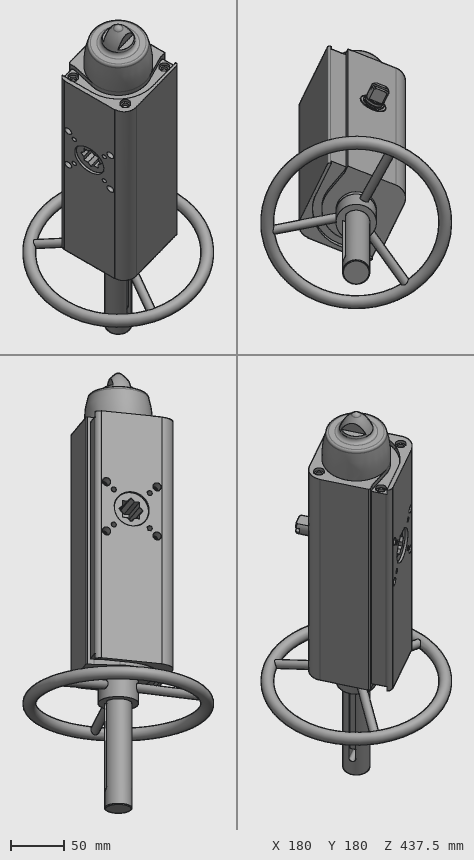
import cadquery as cq
import math

TOTAL_HEIGHT = 437.5
BLEND = 2.0

BLOCK_BOTTOM = 132.5
BLOCK_TOP = 380.5
BLOCK_OFFSET = 2.5
BLOCK_HALF = 41.5
BLOCK_LEFT = BLOCK_OFFSET - BLOCK_HALF
BLOCK_RIGHT = BLOCK_OFFSET + BLOCK_HALF
BLOCK_FRONT = -45.0
BLOCK_BACK = -BLOCK_LEFT
STEP_START = 26.0
STEP_DEPTH = 4.0
STEP_CHAMFER = 1.5
BACK_LEFT_RADIUS = 15.5
FRONT_RIGHT_RADIUS = 14.5
FRONT_LEFT_RADIUS = 5.0
BACK_RIGHT_RADIUS = 2.0
PAD_HEIGHT = 0.5
PAD_FACE = BLOCK_FRONT - PAD_HEIGHT
PAD_RIGHT = BLOCK_RIGHT - FRONT_RIGHT_RADIUS
PAD_LEFT = -PAD_RIGHT

CHANNEL_DEPTH = 5.2
CHANNEL_RADIUS = 41.0
ISLAND_CORNER = 31.5

SCREW_SPACING = 61.2
SCREW_HEAD_DIAMETER = 10.0
SCREW_HEAD_DEPTH = 3.5
SCREW_SOCKET_DIAMETER = 6.5
SCREW_SOCKET_DEPTH = 7.0

SHAFT_Z = 285.2
MOUNT_HOLES = [(70.0, 8.0, 6.5), (50.0, 5.0, 4.1)]
THREAD_DEPTH = 11.0
DRILL_DEPTH = 13.0
DRILL_POINT_ANGLE = 118

CAP_RADIUS = 32.5
CAP_SHOULDER_RADIUS = 29.0
CAP_TOP = 414.5
CAP_EDGE_ROUND = 2.5
CAP_MID_RADIUS = 32.0
INDICATOR_RADIUS = 15.8
INDICATOR_BASE_ROUND = 4.5
INDICATOR_MID_RADIUS = 12.0
INDICATOR_MID_Z = 426.5
TIP_RADIUS = 4.5
TIP_HEIGHT = 2.0
BLADE_WIDTH = 17.0
BLADE_FLOOR = 421.0

WHEEL_DIAMETER = 180.0
RIM_DIAMETER = 12.2
RIM_RADIUS = (WHEEL_DIAMETER - RIM_DIAMETER) / 2
WHEEL_Z = 106.0
HUB_RADIUS = 38.0 / 2
HUB_TOP = 127.8
HUB_BOTTOM = WHEEL_Z
HUB_NECK_RADIUS = 16.0
SPOKE_DIAMETER = 8.8
SPOKE_END_GAP = 1.8
SPOKE_HUB_Z = 120.0
SPOKE_ANGLES = [90, 210, 330]

STEM_DIAMETER = 26.0
STEM_CHAMFER = 1.0
ROD_DIAMETER = 20.0
ROD_BOTTOM = 30.0
SLOT_WIDTH = 6.5
SLOT_BOTTOM = 17.0

SHAFT_DIAMETER = 34.0
SHAFT_RECESS = 2.5
SHAFT_FRONT = PAD_FACE + SHAFT_RECESS
JOURNAL_DIAMETER = 26.0
JOURNAL_START = 30.5
JOURNAL_END = 40.0
COLLAR_DIAMETER = 20.5
COLLAR_END = 41.0
NECK_DIAMETER = 17.0
NECK_END = 43.8
SPIGOT_DIAMETER = 18.0
SPIGOT_END = 57.8
SPIGOT_CHAMFER = 1.5
FLATS_START = 45.0
FLATS_WIDTH = 12.2
NOTCH_WIDTH = 4.1
NOTCH_DEPTH = 4.5
SOCKET_SQUARE = 16.5
SOCKET_DEPTH = 35.0


def cylinder(radius, bottom, top):
    """Round bar on the stem axis between two heights."""
    return cq.Workplane("XY", origin=(0, 0, bottom)).circle(radius).extrude(top - bottom)


def bar_along_y(diameter, start, end):
    """Round bar on the output shaft axis between two Y positions."""
    plane = cq.Plane(origin=(0, start, SHAFT_Z), xDir=(-1, 0, 0), normal=(0, 1, 0))
    return cq.Workplane(plane).circle(diameter / 2).extrude(end - start)


def block_edge(x, y):
    """Selector for the vertical block edge at one corner of its outline."""
    reach = 0.2
    middle = (BLOCK_BOTTOM + BLOCK_TOP) / 2
    return cq.selectors.BoxSelector((x - reach, y - reach, middle - 4.5), (x + reach, y + reach, middle + 4.5))


def make_block():
    outline = [
        (BLOCK_LEFT, BLOCK_BACK),
        (STEP_START, BLOCK_BACK),
        (STEP_START, BLOCK_BACK - STEP_DEPTH),
        (BLOCK_RIGHT, BLOCK_BACK - STEP_DEPTH),
        (BLOCK_RIGHT, BLOCK_FRONT),
        (BLOCK_LEFT + STEP_DEPTH, BLOCK_FRONT),
        (BLOCK_LEFT + STEP_DEPTH, -STEP_START),
        (BLOCK_LEFT, -STEP_START),
    ]
    height = BLOCK_TOP - BLOCK_BOTTOM
    block = cq.Workplane("XY", origin=(0, 0, BLOCK_BOTTOM)).polyline(outline).close().extrude(height)
    block = block.edges(block_edge(BLOCK_LEFT, BLOCK_BACK)).fillet(BACK_LEFT_RADIUS)
    block = block.edges(block_edge(BLOCK_RIGHT, BLOCK_FRONT)).fillet(FRONT_RIGHT_RADIUS)
    block = block.edges(block_edge(BLOCK_LEFT + STEP_DEPTH, BLOCK_FRONT)).fillet(FRONT_LEFT_RADIUS)
    block = block.edges(block_edge(BLOCK_RIGHT, BLOCK_BACK - STEP_DEPTH)).fillet(BACK_RIGHT_RADIUS)
    block = block.edges(block_edge(BLOCK_LEFT, -STEP_START)).chamfer(STEP_CHAMFER)
    pad = cq.Workplane("XY").box(
        PAD_RIGHT - PAD_LEFT, PAD_HEIGHT + BLEND, height, centered=False
    ).translate((PAD_LEFT, PAD_FACE, BLOCK_BOTTOM))
    return block.union(pad)


def make_channel(bottom):
    """Channel across an end face, from corner to corner, around the round boss."""
    corner_distance = math.hypot(ISLAND_CORNER, STEP_START)
    tangent_angle = math.atan2(-STEP_START, -ISLAND_CORNER) + math.acos(CAP_RADIUS / corner_distance)
    tangent_x = CAP_RADIUS * math.cos(tangent_angle)
    tangent_y = CAP_RADIUS * math.sin(tangent_angle)
    far = 2 * BLOCK_HALF
    diagonal = math.sqrt(0.5)
    channel = (
        cq.Workplane("XY", origin=(0, 0, bottom))
        .moveTo(-far, -STEP_START)
        .lineTo(-ISLAND_CORNER, -STEP_START)
        .lineTo(tangent_x, tangent_y)
        .threePointArc((CAP_RADIUS * diagonal, -CAP_RADIUS * diagonal), (-tangent_y, -tangent_x))
        .lineTo(STEP_START, ISLAND_CORNER)
        .lineTo(STEP_START, far)
        .lineTo(CHANNEL_RADIUS, far)
        .lineTo(CHANNEL_RADIUS, 0)
        .threePointArc((CHANNEL_RADIUS * diagonal, -CHANNEL_RADIUS * diagonal), (0, -CHANNEL_RADIUS))
        .lineTo(-far, -CHANNEL_RADIUS)
        .close()
    )
    return channel.extrude(CHANNEL_DEPTH)


def make_screw_holes():
    """Stepped holes in the four corners of the top face, two of them in the channel."""
    half = SCREW_SPACING / 2
    holes = cq.Workplane("XY")
    for side_x in (-1, 1):
        for side_y in (-1, 1):
            top = BLOCK_TOP if side_x != side_y else BLOCK_TOP - CHANNEL_DEPTH
            start = cq.Workplane("XY", origin=(BLOCK_OFFSET + side_x * half, side_y * half - BLOCK_OFFSET, top))
            holes = holes.add(start.circle(SCREW_HEAD_DIAMETER / 2).extrude(-SCREW_HEAD_DEPTH))
            holes = holes.add(start.circle(SCREW_SOCKET_DIAMETER / 2).extrude(-SCREW_SOCKET_DEPTH))
    return holes.combine()


def make_mount_hole(thread_diameter, drill_diameter):
    """Tapped hole from the front face, as a revolved profile around its own axis."""
    drill_radius = drill_diameter / 2
    point_depth = drill_radius / math.tan(math.radians(DRILL_POINT_ANGLE / 2))
    profile = (
        cq.Workplane("XY", origin=(0, PAD_FACE, SHAFT_Z))
        .lineTo(thread_diameter / 2, 0)
        .lineTo(thread_diameter / 2, THREAD_DEPTH)
        .lineTo(drill_radius, THREAD_DEPTH)
        .lineTo(drill_radius, DRILL_DEPTH)
        .lineTo(0, DRILL_DEPTH + point_depth)
        .close()
    )
    return profile.revolve(360, (0, 0), (0, 1))


def cut_mount_holes(housing):
    for circle_diameter, thread_diameter, drill_diameter in MOUNT_HOLES:
        offset = circle_diameter / 2 * math.sqrt(0.5)
        hole = make_mount_hole(thread_diameter, drill_diameter)
        for side_x in (-1, 1):
            for side_z in (-1, 1):
                housing = housing.cut(hole.translate((side_x * offset, 0, side_z * offset)))
    return housing


def make_cap():
    """Spring cap and pointed indicator, revolved as one profile."""
    edge_z = CAP_TOP - CAP_EDGE_ROUND
    edge_inner = CAP_SHOULDER_RADIUS - CAP_EDGE_ROUND
    diagonal = math.sqrt(0.5)
    edge_mid = (edge_inner + CAP_EDGE_ROUND * diagonal, edge_z + CAP_EDGE_ROUND * diagonal)
    base_z = CAP_TOP + INDICATOR_BASE_ROUND
    base_outer = INDICATOR_RADIUS + INDICATOR_BASE_ROUND
    base_mid = (base_outer - INDICATOR_BASE_ROUND * diagonal, base_z - INDICATOR_BASE_ROUND * diagonal)
    dome_radius = (TIP_RADIUS ** 2 + TIP_HEIGHT ** 2) / (2 * TIP_HEIGHT)
    dome_mid_x = TIP_RADIUS / 2
    dome_mid_z = TOTAL_HEIGHT - dome_radius + math.sqrt(dome_radius ** 2 - dome_mid_x ** 2)
    profile = (
        cq.Workplane("XZ")
        .moveTo(0, BLOCK_TOP - BLEND)
        .lineTo(CAP_RADIUS, BLOCK_TOP - BLEND)
        .lineTo(CAP_RADIUS, BLOCK_TOP)
        .threePointArc((CAP_MID_RADIUS, (BLOCK_TOP + edge_z) / 2), (CAP_SHOULDER_RADIUS, edge_z))
        .threePointArc(edge_mid, (edge_inner, CAP_TOP))
        .lineTo(base_outer, CAP_TOP)
        .threePointArc(base_mid, (INDICATOR_RADIUS, base_z))
        .threePointArc((INDICATOR_MID_RADIUS, INDICATOR_MID_Z), (TIP_RADIUS, TOTAL_HEIGHT - TIP_HEIGHT))
        .threePointArc((dome_mid_x, dome_mid_z), (0, TOTAL_HEIGHT))
        .close()
    )
    cap = profile.revolve(360, (0, 0), (0, 1))
    cut_size = 2 * INDICATOR_RADIUS
    for side in (-1, 1):
        cut = cq.Workplane("XY").box(cut_size, cut_size, cut_size, centered=(True, True, False))
        cap = cap.cut(cut.translate((side * (BLADE_WIDTH + cut_size) / 2, 0, BLADE_FLOOR)))
    return cap


def make_handwheel():
    rim_plane = cq.Plane(origin=(RIM_RADIUS, 0, WHEEL_Z), xDir=(-1, 0, 0), normal=(0, 1, 0))
    rim_section = cq.Workplane(rim_plane).circle(RIM_DIAMETER / 2)
    rim = rim_section.revolve(360, (RIM_RADIUS, 0), (RIM_RADIUS, 1))
    hub = (
        cq.Workplane("XZ")
        .moveTo(0, HUB_BOTTOM)
        .lineTo(HUB_RADIUS, HUB_BOTTOM)
        .lineTo(HUB_RADIUS, HUB_TOP)
        .lineTo(HUB_NECK_RADIUS, HUB_TOP)
        .lineTo(HUB_RADIUS, BLOCK_BOTTOM)
        .lineTo(HUB_RADIUS, BLOCK_BOTTOM + BLEND)
        .lineTo(0, BLOCK_BOTTOM + BLEND)
        .close()
        .revolve(360, (0, 0), (0, 1))
    )
    wheel = hub
    slope = (SPOKE_HUB_Z - WHEEL_Z) / (RIM_RADIUS - HUB_RADIUS)
    inner_radius = HUB_RADIUS / 2
    run = RIM_RADIUS - inner_radius
    length = math.hypot(run, slope * run) - SPOKE_END_GAP
    start = (inner_radius, 0, WHEEL_Z + slope * run)
    plane = cq.Plane(origin=start, xDir=(0, 1, 0), normal=(1, 0, -slope))
    spoke = cq.Workplane(plane).circle(SPOKE_DIAMETER / 2).extrude(length)
    for angle in SPOKE_ANGLES:
        wheel = wheel.union(spoke.rotate((0, 0, 0), (0, 0, 1), angle))
    return wheel.union(rim)


def make_stem():
    """Tube slotted along X, with the rod filling it down to its lower end."""
    stem = cylinder(STEM_DIAMETER / 2, 0, HUB_BOTTOM + BLEND).faces("<Z").chamfer(STEM_CHAMFER)
    slot_radius = SLOT_WIDTH / 2
    slot = (
        cq.Workplane("YZ", origin=(-STEM_DIAMETER, 0, 0))
        .moveTo(-slot_radius, HUB_BOTTOM)
        .lineTo(-slot_radius, SLOT_BOTTOM + slot_radius)
        .threePointArc((0, SLOT_BOTTOM), (slot_radius, SLOT_BOTTOM + slot_radius))
        .lineTo(slot_radius, HUB_BOTTOM)
        .close()
        .extrude(2 * STEM_DIAMETER)
    )
    rod = cylinder(ROD_DIAMETER / 2, ROD_BOTTOM, HUB_BOTTOM + BLEND)
    return stem.cut(slot).union(rod)


def make_housing():
    housing = make_block()
    housing = housing.cut(make_channel(BLOCK_TOP - CHANNEL_DEPTH))
    housing = housing.cut(make_channel(BLOCK_BOTTOM))
    housing = housing.cut(make_screw_holes())
    housing = cut_mount_holes(housing)
    housing = housing.union(make_cap()).union(make_handwheel()).union(make_stem())
    shaft_bore = bar_along_y(SHAFT_DIAMETER, PAD_FACE, JOURNAL_START)
    journal_bore = bar_along_y(JOURNAL_DIAMETER, JOURNAL_START, BLOCK_BACK)
    return housing.cut(shaft_bore).cut(journal_bore)


def make_output_shaft():
    shaft = bar_along_y(SHAFT_DIAMETER, SHAFT_FRONT, JOURNAL_START)
    shaft = shaft.union(bar_along_y(JOURNAL_DIAMETER, JOURNAL_START, JOURNAL_END))
    shaft = shaft.union(bar_along_y(COLLAR_DIAMETER, JOURNAL_END, COLLAR_END))
    shaft = shaft.union(bar_along_y(NECK_DIAMETER, COLLAR_END, NECK_END))
    spigot = bar_along_y(SPIGOT_DIAMETER, NECK_END, SPIGOT_END).faces(">Y").chamfer(SPIGOT_CHAMFER)
    flats_length = SPIGOT_END - FLATS_START
    for side in (-1, 1):
        cut = cq.Workplane("XY").box(SPIGOT_DIAMETER, flats_length, SPIGOT_DIAMETER)
        offset = side * (FLATS_WIDTH + SPIGOT_DIAMETER) / 2
        spigot = spigot.cut(cut.translate((0, (FLATS_START + SPIGOT_END) / 2, SHAFT_Z + offset)))
    notch = cq.Workplane("XY").box(2 * SPIGOT_DIAMETER, NOTCH_DEPTH, NOTCH_WIDTH)
    spigot = spigot.cut(notch.translate((0, SPIGOT_END - NOTCH_DEPTH / 2, SHAFT_Z)))
    shaft = shaft.union(spigot)
    for angle in (0, 45):
        square = cq.Workplane("XZ", origin=(0, SHAFT_FRONT, SHAFT_Z)).rect(SOCKET_SQUARE, SOCKET_SQUARE)
        square = square.extrude(-SOCKET_DEPTH)
        shaft = shaft.cut(square.rotate((0, 0, SHAFT_Z), (0, 1, SHAFT_Z), angle))
    return shaft


housing = make_housing()
output_shaft = make_output_shaft()
result = cq.Compound.makeCompound([housing.val(), output_shaft.val()])